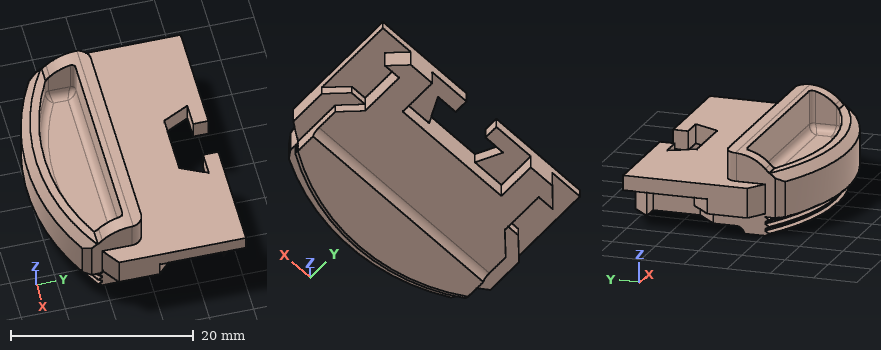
import cadquery as cq
import math

plate_width = 29.6
total_depth = 21.0
total_height = 9.2
body_width = 25.57
half_plate = plate_width / 2
half_body = body_width / 2

plate_top = 5.95
plate_bottom = 0.8
flange_bottom = 4.23
tab_bottom = 2.55
shoulder_y = -14.35
plate_front_y = -15.75

relief_front_y = -9.77
relief_slant = 2.3
foot_depth = 2.0
foot_inset = 2.2

slot_mouth = 4.47
slot_lip = 1.75
slot_wide = 9.77
slot_narrow = 6.87
slot_depth = 4.7
recess_width = 14.8
recess_ceiling = 3.73

grip_back_y = -11.0
grip_bottom = 2.2
rim_top = 7.28
front_radius = 25.15
arc_center_y = front_radius - total_depth
rim_chamfer = 1.0
back_corner_radius = 1.42
crest_y = -12.25
crest_radius = 4.95
bevel_back_y = -16.93
bevel_front_y = -17.85

pocket_width = 22.15
pocket_back_y = -12.95
pocket_front_radius = 23.18
pocket_floor = 4.38
pocket_corner_radius = 0.5
pocket_floor_radius = 1.0

skirt_root_radius = 23.68
skirt_tip_radius = 24.05
tooth_count = 3
tooth_flank_height = 0.3
skirt_cove_y = -12.37
skirt_cove_radius = 0.98


def prism(points, bottom, top):
    """Extrude a plan outline between two heights."""
    return cq.Workplane("XY").workplane(offset=bottom).polyline(points).close().extrude(top - bottom)


def mirrored(points):
    """Complete an outline given as its left half."""
    return points + [(-x, y) for x, y in reversed(points)]


def box(width, back_y, front_y, bottom, top):
    half = width / 2
    return prism(mirrored([(-half, back_y), (-half, front_y)]), bottom, top)


def arc_fronted_prism(width, back_y, radius, bottom, top):
    """Extrude a straight-backed outline whose front is an arc about the common centre."""
    half = width / 2
    side_y = arc_center_y - math.sqrt(radius**2 - half**2)
    return (
        cq.Workplane("XY").workplane(offset=bottom)
        .moveTo(-half, back_y)
        .lineTo(-half, side_y)
        .threePointArc((0, arc_center_y - radius), (half, side_y))
        .lineTo(half, back_y)
        .close()
        .extrude(top - bottom)
    )


def make_plate():
    outline = mirrored([(-half_plate, 0), (-half_plate, shoulder_y), (-half_body, plate_front_y)])
    plate = prism(outline, tab_bottom, plate_top)
    plate = plate.union(box(body_width, 0, plate_front_y, plate_bottom, tab_bottom))

    wall_x = -half_body + relief_slant
    wall_front_y = relief_front_y + relief_slant
    tab_relief = [
        (-half_plate, 0),
        (-half_plate, relief_front_y),
        (-half_plate + relief_slant, wall_front_y),
        (wall_x, wall_front_y),
        (wall_x, -foot_depth),
        (-half_plate + foot_inset, -foot_depth),
        (-half_plate + foot_inset + foot_depth, 0),
    ]
    lower_relief = [
        (-half_body, relief_front_y),
        (wall_x, wall_front_y),
        (-half_body, wall_front_y),
    ]
    relief = prism(tab_relief, plate_bottom, flange_bottom)
    relief = relief.cut(box(plate_width, wall_front_y, relief_front_y, plate_bottom, tab_bottom))
    relief = relief.union(prism(lower_relief, plate_bottom, tab_bottom))
    plate = plate.cut(relief).cut(relief.mirror("YZ"))

    slot = mirrored([
        (-slot_mouth / 2, 0),
        (-slot_mouth / 2, -slot_lip),
        (-slot_wide / 2, -slot_lip),
        (-slot_narrow / 2, -slot_depth),
    ])
    plate = plate.cut(prism(slot, plate_bottom, plate_top))
    return plate.cut(box(recess_width, 0, -slot_depth, plate_bottom, recess_ceiling))


def make_grip():
    rim = arc_fronted_prism(body_width, grip_back_y, front_radius, grip_bottom, rim_top)
    rim = rim.faces(">Z").edges("%CIRCLE").chamfer(rim_chamfer)

    diagonal = math.sqrt(0.5)
    arc_end_y = crest_y - crest_radius * diagonal
    arc_end_z = total_height - crest_radius * (1 - diagonal)
    slope_end_y = arc_end_y - (arc_end_z - rim_top)
    half_arc = math.radians(22.5)
    arc_middle = (
        crest_y - crest_radius * math.sin(half_arc),
        total_height - crest_radius * (1 - math.cos(half_arc)),
    )
    raised_back = (
        cq.Workplane("YZ").workplane(offset=-half_body)
        .moveTo(grip_back_y, grip_bottom)
        .lineTo(grip_back_y, total_height)
        .lineTo(crest_y, total_height)
        .threePointArc(arc_middle, (arc_end_y, arc_end_z))
        .lineTo(slope_end_y, rim_top)
        .lineTo(slope_end_y, grip_bottom)
        .close()
        .extrude(body_width)
    )
    grip = rim.union(raised_back)
    bevel_x = -math.sqrt(front_radius**2 - (arc_center_y - bevel_front_y)**2)
    envelope = prism(
        mirrored([
            (-half_body, grip_back_y),
            (-half_body, bevel_back_y),
            (bevel_x, bevel_front_y),
            (bevel_x, -total_depth),
        ]),
        grip_bottom,
        total_height,
    )
    envelope = envelope.edges("|Z and >Y").fillet(back_corner_radius)
    return grip.intersect(envelope)


def make_pocket():
    pocket = arc_fronted_prism(
        pocket_width, pocket_back_y, pocket_front_radius, pocket_floor, total_height
    )
    pocket = pocket.edges("|Z").fillet(pocket_corner_radius)
    return pocket.faces("<Z").edges().fillet(pocket_floor_radius)


def make_skirt():
    cove_center_z = plate_bottom - skirt_cove_radius
    cove_end_y = skirt_cove_y - math.sqrt(skirt_cove_radius**2 - cove_center_z**2)
    cove_middle = (
        skirt_cove_y - skirt_cove_radius * math.sqrt(0.5),
        cove_center_z + skirt_cove_radius * math.sqrt(0.5),
    )
    section = (
        cq.Workplane("YZ").workplane(offset=-half_body)
        .moveTo(grip_back_y, grip_bottom)
        .lineTo(grip_back_y, plate_bottom)
        .lineTo(skirt_cove_y, plate_bottom)
        .threePointArc(cove_middle, (cove_end_y, 0))
        .lineTo(-total_depth, 0)
        .lineTo(-total_depth, grip_bottom)
        .close()
        .extrude(body_width)
    )

    tooth_height = 2 * tooth_flank_height
    root_flat = (grip_bottom - tooth_count * tooth_height) / (tooth_count - 1)
    profile = [(0, 0)]
    for tooth in range(tooth_count):
        tooth_base = tooth * (tooth_height + root_flat)
        profile.append((skirt_root_radius, tooth_base))
        profile.append((skirt_tip_radius, tooth_base + tooth_flank_height))
        profile.append((skirt_root_radius, tooth_base + tooth_height))
    profile.append((0, grip_bottom))
    toothed_disc = (
        cq.Workplane("XZ").polyline(profile).close()
        .revolve(360, (0, 0), (0, 1))
        .translate((0, arc_center_y, 0))
    )
    return section.intersect(toothed_disc)


result = make_plate().union(make_grip()).union(make_skirt()).cut(make_pocket())